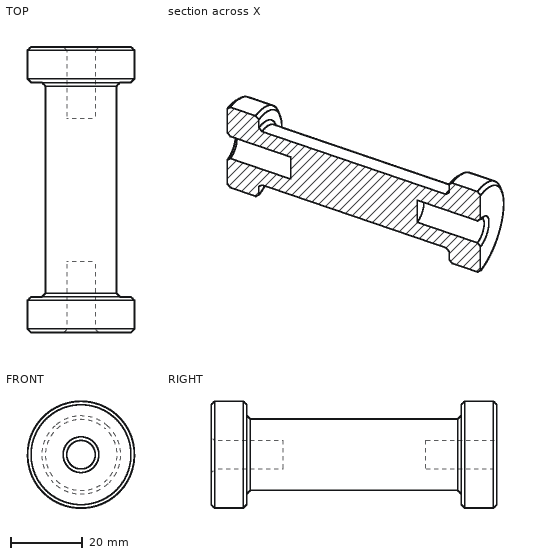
import cadquery as cq

length = 80.0
flange_diameter = 30.0
flange_thickness = 10.0
shaft_diameter = 20.0

flange_chamfer = 1.0
neck_chamfer = 1.0

hole_diameter = 8.0
hole_depth = 20.0
hole_chamfer = 1.0

shaft_length = length - 2 * flange_thickness


def axial_cylinder(diameter, start_y, height):
    """Cylinder about the Y axis, running from start_y toward +Y."""
    axis = cq.Vector(0, 1, 0)
    return cq.Workplane(cq.Solid.makeCylinder(diameter / 2, height, cq.Vector(0, start_y, 0), axis))


def axial_cone(start_diameter, end_diameter, start_y, height):
    """Truncated cone about the Y axis, running from start_y toward +Y."""
    axis = cq.Vector(0, 1, 0)
    start = cq.Vector(0, start_y, 0)
    return cq.Workplane(cq.Solid.makeCone(start_diameter / 2, end_diameter / 2, height, start, axis))


def make_flange_end():
    """Chamfered flange at the -Y end, with the conical neck that joins it to the shaft."""
    flange = axial_cylinder(flange_diameter, -length / 2, flange_thickness)
    flange = flange.edges("%CIRCLE").chamfer(flange_chamfer)
    neck_diameter = shaft_diameter + 2 * neck_chamfer
    neck = axial_cone(neck_diameter, shaft_diameter, -shaft_length / 2, neck_chamfer)
    return flange.union(neck)


def make_end_hole():
    """Blind hole with a countersunk mouth, entering from the -Y end."""
    hole = axial_cylinder(hole_diameter, -length / 2, hole_depth)
    mouth_diameter = hole_diameter + 2 * hole_chamfer
    countersink = axial_cone(mouth_diameter, hole_diameter, -length / 2, hole_chamfer)
    return hole.union(countersink)


flange_end = make_flange_end()
end_hole = make_end_hole()

shaft = axial_cylinder(shaft_diameter, -shaft_length / 2, shaft_length)
spool = shaft.union(flange_end).union(flange_end.mirror("XZ"))
result = spool.cut(end_hole).cut(end_hole.mirror("XZ"))